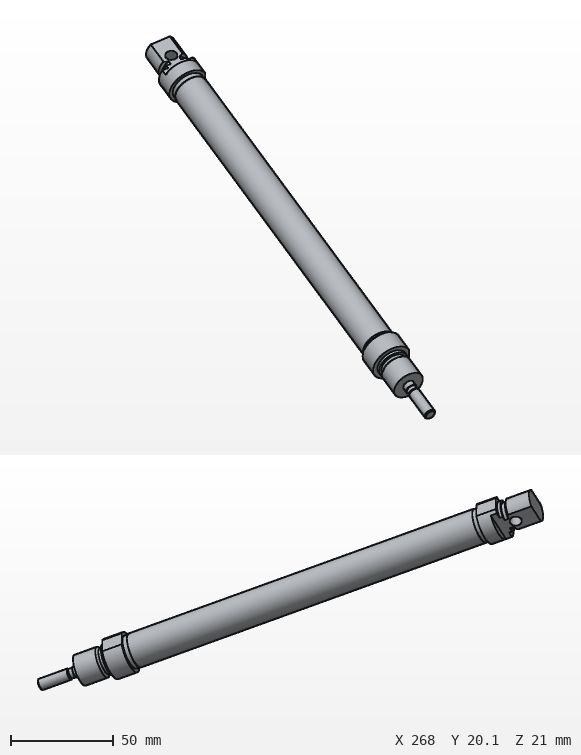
import cadquery as cq

EYE_RELIEF_START = 12.5
REAR_COLLAR_START = 17.2
REAR_COLLAR_END = 27.5
TUBE_START = 30.3
TUBE_END = 216.8
FRONT_COLLAR_START = 219.2
NOSE_START = 234.2
NOSE_END = 246.3
ROD_TIP = 268.0

TUBE_RADIUS = 8.8
COLLAR_RADIUS = 10.5
SPIGOT_RADIUS = 8.5
THREAD_RADIUS = 8.0
RELIEF_RADIUS = 6.7
ROD_RADIUS = 3.0

COLLAR_LENGTH = REAR_COLLAR_END - REAR_COLLAR_START
COLLAR_FLAT_Y = 9.6
SHOULDER_LENGTH = 1.5
RELIEF_RAMP = 1.0

EYE_THICKNESS = 12.0
EYE_FLAT_END = 20.5
EYE_HOLE_X = 11.0
EYE_HOLE_DIAMETER = 6.0

ROD_RELIEF_START = 249.2
ROD_RELIEF_END = 252.2
ROD_RELIEF_RADIUS = 2.55
ROD_RELIEF_RAMP = 0.8
ROD_TIP_CHAMFER = 0.5


def turned(outline):
    """Revolve (x, radius) points, closed along the X axis, about that axis."""
    first_x = outline[0][0]
    last_x = outline[-1][0]
    points = [(first_x, 0), *outline, (last_x, 0)]
    return cq.Workplane("XZ").polyline(points).close().revolve(360, (0, 0, 0), (1, 0, 0))


def block(x_start, x_end, y_start, y_end, z_start, z_end):
    """Axis-aligned box between the given limits."""
    size = (x_end - x_start, y_end - y_start, z_end - z_start)
    return cq.Workplane("XY").box(*size, centered=False).translate((x_start, y_start, z_start))


def cut_collar_flat(cap, collar_start):
    """Trim the +Y side of a collar to a flat."""
    return cap.cut(block(collar_start, collar_start + COLLAR_LENGTH,
                         COLLAR_FLAT_Y, COLLAR_RADIUS, -COLLAR_RADIUS, COLLAR_RADIUS))


def make_rear_cap():
    """Rear cap with a flat-sided eye, a thread relief and a collar."""
    shoulder_start = REAR_COLLAR_START - SHOULDER_LENGTH
    cap = turned([
        (0, THREAD_RADIUS),
        (EYE_RELIEF_START, THREAD_RADIUS),
        (EYE_RELIEF_START + RELIEF_RAMP, RELIEF_RADIUS),
        (shoulder_start, RELIEF_RADIUS),
        (shoulder_start, THREAD_RADIUS),
        (REAR_COLLAR_START, THREAD_RADIUS),
        (REAR_COLLAR_START, COLLAR_RADIUS),
        (REAR_COLLAR_END, COLLAR_RADIUS),
        (REAR_COLLAR_END, SPIGOT_RADIUS),
        (TUBE_START, SPIGOT_RADIUS),
    ])
    cap = cut_collar_flat(cap, REAR_COLLAR_START)
    half_eye = EYE_THICKNESS / 2
    for z_start, z_end in ((half_eye, COLLAR_RADIUS), (-COLLAR_RADIUS, -half_eye)):
        cap = cap.cut(block(0, EYE_FLAT_END, -COLLAR_RADIUS, COLLAR_RADIUS, z_start, z_end))
    pin_hole = (cq.Workplane("XY").center(EYE_HOLE_X, 0)
                .circle(EYE_HOLE_DIAMETER / 2).extrude(half_eye, both=True))
    return cap.cut(pin_hole)


def make_tube():
    """Plain cylinder barrel held between the two caps."""
    return turned([(TUBE_START, TUBE_RADIUS), (TUBE_END, TUBE_RADIUS)])


def make_front_cap():
    """Front cap with a collar, a thread relief and a threaded nose."""
    collar_end = FRONT_COLLAR_START + COLLAR_LENGTH
    shoulder_end = collar_end + SHOULDER_LENGTH
    cap = turned([
        (TUBE_END, SPIGOT_RADIUS),
        (FRONT_COLLAR_START, SPIGOT_RADIUS),
        (FRONT_COLLAR_START, COLLAR_RADIUS),
        (collar_end, COLLAR_RADIUS),
        (collar_end, THREAD_RADIUS),
        (shoulder_end, THREAD_RADIUS),
        (shoulder_end, RELIEF_RADIUS),
        (NOSE_START - RELIEF_RAMP, RELIEF_RADIUS),
        (NOSE_START, THREAD_RADIUS),
        (NOSE_END, THREAD_RADIUS),
    ])
    return cut_collar_flat(cap, FRONT_COLLAR_START)


def make_rod():
    """Piston rod end with a relief groove and a chamfered tip."""
    return turned([
        (NOSE_END, ROD_RADIUS),
        (ROD_RELIEF_START, ROD_RADIUS),
        (ROD_RELIEF_START, ROD_RELIEF_RADIUS),
        (ROD_RELIEF_END - ROD_RELIEF_RAMP, ROD_RELIEF_RADIUS),
        (ROD_RELIEF_END, ROD_RADIUS),
        (ROD_TIP - ROD_TIP_CHAMFER, ROD_RADIUS),
        (ROD_TIP, ROD_RADIUS - ROD_TIP_CHAMFER),
    ])


rear_cap = make_rear_cap()
tube = make_tube()
front_cap = make_front_cap()
rod = make_rod()

result = cq.Compound.makeCompound([rear_cap.val(), tube.val(), front_cap.val(), rod.val()])